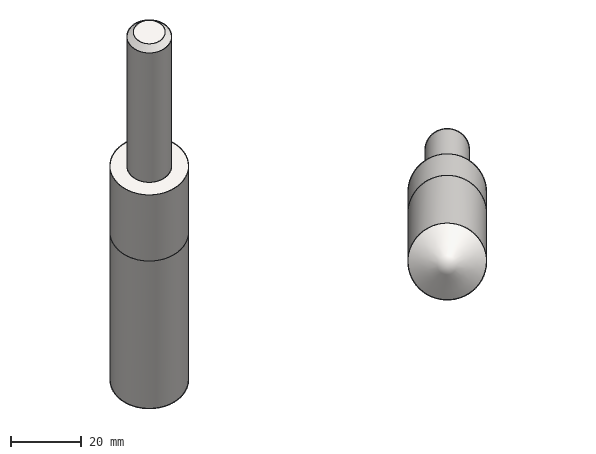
import cadquery as cq
import math

total_length = 152.4
body_diameter = 22.3
body_radius = body_diameter / 2
shank_diameter = 12.6
shank_radius = shank_diameter / 2

point_angle = 118.0
tip_height = body_radius / math.tan(math.radians(point_angle / 2))
joint_height = 68.6
shoulder_height = 96.3

end_chamfer = 1.8


def make_tip():
    """Cylindrical lower body that ends in a conical point at the origin."""
    return (
        cq.Workplane("XZ")
        .lineTo(body_radius, tip_height)
        .lineTo(body_radius, joint_height)
        .lineTo(0, joint_height)
        .close()
        .revolve(360, (0, 0, 0), (0, 1, 0))
    )


def make_holder():
    """Upper body: a full-width collar with a narrower shank above it."""
    return (
        cq.Workplane("XZ")
        .moveTo(0, joint_height)
        .lineTo(body_radius, joint_height)
        .lineTo(body_radius, shoulder_height)
        .lineTo(shank_radius, shoulder_height)
        .lineTo(shank_radius, total_length - end_chamfer)
        .lineTo(shank_radius - end_chamfer, total_length)
        .lineTo(0, total_length)
        .close()
        .revolve(360, (0, 0, 0), (0, 1, 0))
    )


tip = make_tip()
holder = make_holder()

result = cq.Compound.makeCompound([tip.val(), holder.val()])